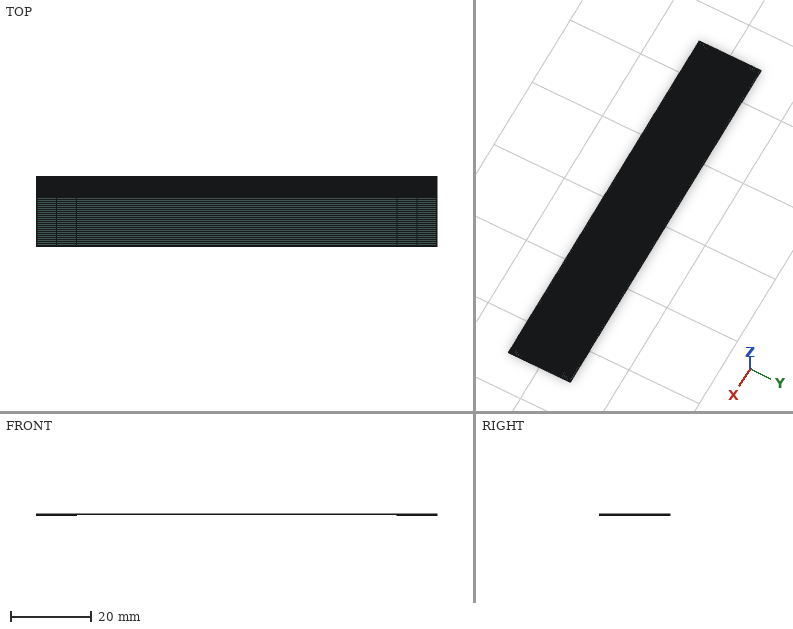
import cadquery as cq

cable_length = 100.0
cable_width = 17.5
total_thickness = 0.36

film_thickness = 0.06
conductor_thickness = 0.04
stiffener_thickness = total_thickness - 2 * film_thickness - conductor_thickness

stiffener_length = 10.0
exposed_length = 5.0
covered_length = cable_length - 2 * exposed_length

conductor_count = 34
conductor_pitch = 0.5
conductor_width = 0.3

base_film_bottom = stiffener_thickness
conductor_bottom = base_film_bottom + film_thickness
cover_film_bottom = conductor_bottom + conductor_thickness


def layer(length, width, thickness, bottom, center_x=0, center_y=0):
    """Rectangular layer whose underside lies at the given height."""
    plane = cq.Workplane("XY", origin=(center_x, center_y, bottom))
    return plane.rect(length, width).extrude(thickness)


base_film = layer(cable_length, cable_width, film_thickness, base_film_bottom)
cover_film = layer(covered_length, cable_width, film_thickness, cover_film_bottom)

conductors = (
    cq.Workplane("XY", origin=(0, 0, conductor_bottom))
    .rarray(1, conductor_pitch, 1, conductor_count)
    .rect(cable_length, conductor_width)
    .extrude(conductor_thickness)
)

result = base_film.union(conductors).union(cover_film)

stiffener_offset = (cable_length - stiffener_length) / 2
for side in (-1, 1):
    stiffener = layer(
        stiffener_length, cable_width, stiffener_thickness, 0, side * stiffener_offset
    )
    result = result.union(stiffener)